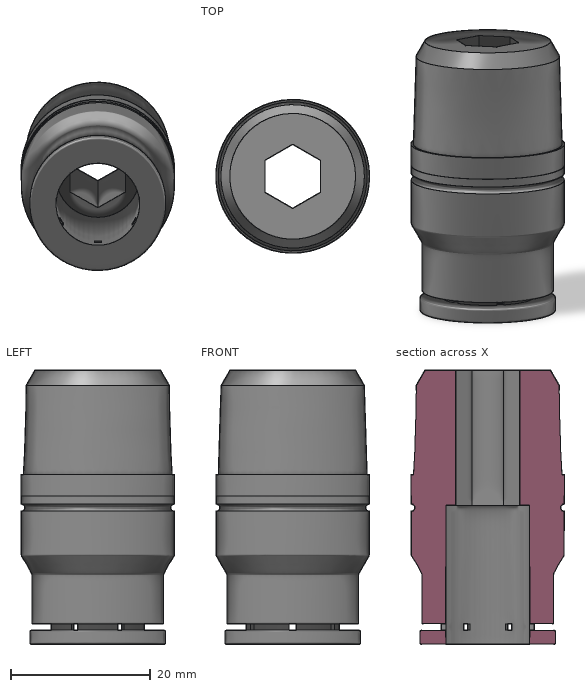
import cadquery as cq
import math

FLANGE_DIAMETER = 19.5
FLANGE_HEIGHT = 2.05
FLANGE_ROUND = 0.25
TUBE_DIAMETER = 13.4
TUBE_EXPOSED_HEIGHT = 0.9
SLOT_WIDTH = 1.0
SLOT_COUNT = 6
FIRST_SLOT_ANGLE = 30.0

NECK_DIAMETER = 18.92
NECK_TOP = 10.1
NECK_RIM_ROUND = 0.15
SLEEVE_DIAMETER = 22.0
CONE_ANGLE = 30.0
CONE_BLEND = 0.5

GROOVE_CENTER_HEIGHT = 19.65
GROOVE_RADIUS = 0.5

COLLAR_DIAMETER = 22.1
COLLAR_BOTTOM = 21.3
COLLAR_TOP = 24.4

TOTAL_HEIGHT = 39.4
HEAD_TOP_DIAMETER = 20.6
HEAD_BOTTOM_DIAMETER = 21.4
TOP_CONE_HEIGHT = 2.2

BORE_DIAMETER = 12.0
BORE_DEPTH = 20.0
HEX_ACROSS_FLATS = 7.94

SLOPE = math.tan(math.radians(CONE_ANGLE))
FLANGE_RADIUS = FLANGE_DIAMETER / 2
TUBE_RADIUS = TUBE_DIAMETER / 2
NECK_RADIUS = NECK_DIAMETER / 2
SLEEVE_RADIUS = SLEEVE_DIAMETER / 2
COLLAR_RADIUS = COLLAR_DIAMETER / 2
HEAD_TOP_RADIUS = HEAD_TOP_DIAMETER / 2
HEAD_BOTTOM_RADIUS = HEAD_BOTTOM_DIAMETER / 2
NECK_BOTTOM = FLANGE_HEIGHT + TUBE_EXPOSED_HEIGHT
SLEEVE_BOTTOM = NECK_TOP + (SLEEVE_RADIUS - NECK_RADIUS) / SLOPE
HEAD_TOP = TOTAL_HEIGHT - TOP_CONE_HEIGHT
TOP_FACE_RADIUS = HEAD_TOP_RADIUS - TOP_CONE_HEIGHT * SLOPE


def revolve(profile):
    """Turn a closed (radius, height) profile about the Z axis."""
    return profile.close().revolve(360, (0, 0, 0), (0, 1, 0))


def make_flange():
    flange = cq.Workplane("XY").circle(FLANGE_RADIUS).extrude(FLANGE_HEIGHT)
    return flange.edges().fillet(FLANGE_ROUND)


def make_tube():
    """Tube between flange and neck, divided by radial slots."""
    gap = cq.Workplane("XY").workplane(offset=FLANGE_HEIGHT)
    tube = gap.circle(TUBE_RADIUS).extrude(TUBE_EXPOSED_HEIGHT)
    slots = (
        gap.polarArray(TUBE_RADIUS, FIRST_SLOT_ANGLE, 360, SLOT_COUNT)
        .rect(TUBE_DIAMETER - BORE_DIAMETER + SLOT_WIDTH, SLOT_WIDTH)
        .extrude(TUBE_EXPOSED_HEIGHT)
    )
    return tube.cut(slots)


def make_body():
    """Neck, cone and sleeve up to the collar, with blended edges."""
    body = revolve(
        cq.Workplane("XZ")
        .moveTo(0, NECK_BOTTOM)
        .lineTo(NECK_RADIUS, NECK_BOTTOM)
        .lineTo(NECK_RADIUS, NECK_TOP)
        .lineTo(SLEEVE_RADIUS, SLEEVE_BOTTOM)
        .lineTo(SLEEVE_RADIUS, COLLAR_BOTTOM)
        .lineTo(0, COLLAR_BOTTOM)
    )
    cone_ends = cq.selectors.BoxSelector(
        (-COLLAR_RADIUS, -COLLAR_RADIUS, NECK_TOP - CONE_BLEND),
        (COLLAR_RADIUS, COLLAR_RADIUS, SLEEVE_BOTTOM + CONE_BLEND),
    )
    body = body.edges(cone_ends).edges("%CIRCLE").fillet(CONE_BLEND)
    body = body.faces("<Z").edges().fillet(NECK_RIM_ROUND)
    groove = (
        cq.Workplane("XZ")
        .center(SLEEVE_RADIUS, GROOVE_CENTER_HEIGHT)
        .circle(GROOVE_RADIUS)
        .revolve(360, (-SLEEVE_RADIUS, 0, 0), (-SLEEVE_RADIUS, 1, 0))
    )
    return body.cut(groove)


def make_collar_and_head():
    return revolve(
        cq.Workplane("XZ")
        .moveTo(0, COLLAR_BOTTOM)
        .lineTo(COLLAR_RADIUS, COLLAR_BOTTOM)
        .lineTo(COLLAR_RADIUS, COLLAR_TOP)
        .lineTo(HEAD_BOTTOM_RADIUS, COLLAR_TOP)
        .lineTo(HEAD_TOP_RADIUS, HEAD_TOP)
        .lineTo(TOP_FACE_RADIUS, TOTAL_HEIGHT)
        .lineTo(0, TOTAL_HEIGHT)
    )


def make_bore():
    return cq.Workplane("XY").circle(BORE_DIAMETER / 2).extrude(BORE_DEPTH)


def make_hex_socket():
    """Hexagon through the full height, with corners on the Y axis."""
    across_corners = HEX_ACROSS_FLATS / math.cos(math.pi / 6)
    corner_turn = 30
    hexagon = cq.Workplane("XY").polygon(6, across_corners).extrude(TOTAL_HEIGHT)
    return hexagon.rotate((0, 0, 0), (0, 0, 1), corner_turn)


outside = make_flange().union(make_tube()).union(make_body()).union(make_collar_and_head())
result = outside.cut(make_bore()).cut(make_hex_socket())